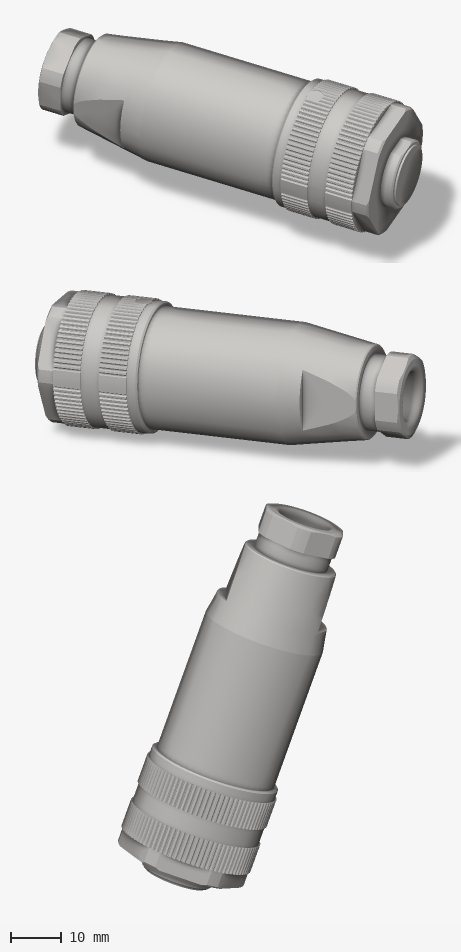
import cadquery as cq
import math

total_length = 77.0

gland_end = 5.0
housing_start = 8.4
cone_end = 24.2
band_start = 53.1
knurl_length = 5.7
rear_knurl_start = 55.3
front_knurl_start = 64.9
coupling_hex_start = 70.6
coupling_hex_end = 74.1
tail_end = 76.6

gland_across_flats = 16.0
gland_radius = 8.55
gland_chamfer_length = 0.4
gland_chamfer_depth = 0.9
neck_radius = 7.6
bore_radius = 4.85
bore_lip_radius = 1.4
bore_depth = 3.85

cone_start_radius = 9.55
body_radius = 12.25
cone_edge_chamfer = 0.2
flat_end = 19.55
flat_start_offset = 9.5
flat_end_offset = 9.55

band_radius = 13.2
band_chamfer = 0.3
knurl_diameter = 27.0
knurl_radius = knurl_diameter / 2
groove_count = 84
groove_depth = 0.5
groove_width = 0.6
thumb_pad_half_angle = 7.5

marker_x = 56.5
marker_radius = 1.7
marker_height = 13.3

coupling_across_flats = 24.0
coupling_chamfer = 0.4
tail_radius = 7.15
tail_chamfer = 0.3
tail_key_height = 6.8
insert_radius = 6.2


def cylinder(radius, start, end):
    """Solid cylinder along X between two stations."""
    return cq.Workplane("YZ", origin=(start, 0, 0)).circle(radius).extrude(end - start)


def rounded_hexagon(across_flats, blank):
    """Round blank cut to a hexagon with two flats facing +Y and -Y."""
    box = blank.val().BoundingBox()
    corner_diameter = across_flats / math.cos(math.pi / 6)
    prism = (
        cq.Workplane("YZ", origin=(box.xmin, 0, 0))
        .transformed(rotate=(0, 0, 30))
        .polygon(6, corner_diameter)
        .extrude(box.xlen)
    )
    return blank.intersect(prism)


def make_gland_nut():
    blank = (
        cylinder(gland_radius, 0, gland_end)
        .faces("<X")
        .chamfer(gland_chamfer_length, gland_chamfer_depth)
    )
    return rounded_hexagon(gland_across_flats, blank)


def make_bore():
    """Blind cable entry with a convex rounded mouth."""
    mouth_radius = bore_radius + bore_lip_radius
    lip_middle = bore_lip_radius * (1 - math.sqrt(0.5))
    return (
        cq.Workplane("XY")
        .lineTo(0, mouth_radius)
        .threePointArc((lip_middle, bore_radius + lip_middle), (bore_lip_radius, bore_radius))
        .lineTo(bore_depth, bore_radius)
        .lineTo(bore_depth, 0)
        .close()
        .revolve(360, (0, 0, 0), (1, 0, 0))
    )


def make_housing():
    housing = (
        cq.Workplane("XY")
        .moveTo(housing_start, 0)
        .lineTo(housing_start, cone_start_radius - cone_edge_chamfer)
        .lineTo(housing_start + cone_edge_chamfer, cone_start_radius)
        .lineTo(cone_end, body_radius)
        .lineTo(band_start, body_radius)
        .lineTo(band_start, 0)
        .close()
        .revolve(360, (0, 0, 0), (1, 0, 0))
    )
    flat_cutter = (
        cq.Workplane("XY")
        .moveTo(housing_start, flat_start_offset)
        .lineTo(flat_end, flat_end_offset)
        .lineTo(flat_end, body_radius)
        .lineTo(housing_start, body_radius)
        .close()
        .extrude(body_radius, both=True)
    )
    return housing.cut(flat_cutter).cut(flat_cutter.mirror("XZ"))


def make_knurl(start):
    """Ring of V-grooves, left smooth at a thumb pad on each side (+Y and -Y)."""
    ring = cylinder(knurl_radius, start, start + knurl_length)
    grooves = cq.Workplane("YZ", origin=(start, 0, 0))
    half_angle = groove_width / 2 / knurl_radius
    outer_radius = knurl_radius / math.cos(half_angle)
    root_radius = knurl_radius - groove_depth
    for index in range(groove_count):
        angle = 2 * math.pi * index / groove_count
        angle_from_side = math.degrees(math.asin(abs(math.sin(angle))))
        if angle_from_side < thumb_pad_half_angle:
            continue
        corners = [
            (outer_radius, angle - half_angle),
            (root_radius, angle),
            (outer_radius, angle + half_angle),
        ]
        grooves = grooves.polyline([(r * math.cos(a), r * math.sin(a)) for r, a in corners]).close()
    return ring.cut(grooves.extrude(knurl_length))


def make_marker(height):
    return cq.Workplane("XY").center(marker_x, 0).circle(marker_radius).extrude(height)


def make_coupling_hexagon():
    """Hexagon with flats facing up and down, chamfered at the mating end."""
    blank = cylinder(band_radius, coupling_hex_start, coupling_hex_end)
    blank = blank.faces(">X").chamfer(coupling_chamfer)
    hexagon = rounded_hexagon(coupling_across_flats, blank)
    return hexagon.rotate((0, 0, 0), (1, 0, 0), 90)


def make_tail():
    """Mating end with a single flat on top and the contact insert standing slightly proud."""
    tail = cylinder(tail_radius, coupling_hex_end, tail_end).faces(">X").chamfer(tail_chamfer)
    key_cutter = (
        cq.Workplane("XY", origin=(0, 0, tail_key_height))
        .rect(2 * total_length, 2 * tail_radius)
        .extrude(tail_radius)
    )
    return tail.cut(key_cutter).union(cylinder(insert_radius, coupling_hex_end, total_length))


band = cylinder(band_radius, band_start, coupling_hex_start).faces("<X").chamfer(band_chamfer)
rear_knurl = make_knurl(rear_knurl_start).cut(make_marker(2 * knurl_radius))
front_knurl = make_knurl(front_knurl_start)

result = (
    make_gland_nut()
    .union(cylinder(neck_radius, gland_end, housing_start))
    .union(make_housing())
    .union(band)
    .union(rear_knurl)
    .union(front_knurl)
    .union(make_marker(marker_height))
    .union(make_coupling_hexagon())
    .union(make_tail())
    .cut(make_bore())
)